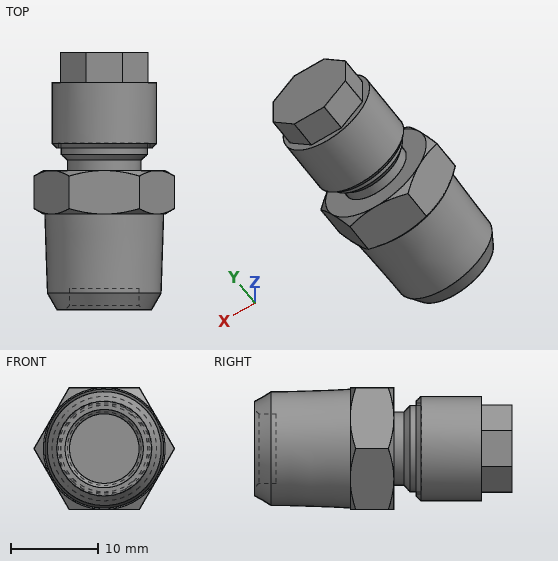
import cadquery as cq
import math

total_length = 29.6
thread_chamfer_length = 1.92
hex_start = 11.0
hex_end = 16.0
neck_end = 17.2
collar_start = 17.88
nut_start = 18.6
nut_chamfer_length = 0.53
octagon_start = 26.1

thread_root_radius = 6.85
thread_tip_radius = 6.55
chamfer_angle = math.radians(30)
neck_radius = 4.23
collar_radius = 4.97
nut_radius = 6.0
nut_chamfer_width = nut_chamfer_length
nut_mouth_radius = 5.25
nut_mouth_depth = 0.6
hex_across_flats = 14.0
octagon_across_flats = 10.05

bore_radius = 4.0
bore_mouth_radius = 4.5
bore_countersink_depth = 0.5
bore_depth = 2.5


def revolve_about_y(points):
    """Revolve a closed (radius, y) profile around the Y axis."""
    return cq.Workplane("XY").polyline(points).close().revolve(360, (0, 0, 0), (0, 1, 0))


def prism_along_y(sides, across_flats, start, end, turn=0):
    """Regular prism along Y; turn is the angle of its first corner from X."""
    corner_diameter = across_flats / math.cos(math.pi / sides)
    prism = cq.Workplane("XZ", origin=(0, start, 0)).polygon(sides, corner_diameter).extrude(start - end)
    return prism.rotate((0, 0, 0), (0, 1, 0), turn)


def make_round_body():
    """Tapered thread, neck, collar and round nut, with clearance between collar and nut mouth."""
    thread_end_radius = thread_tip_radius - thread_chamfer_length * math.tan(chamfer_angle)
    return revolve_about_y([
        (0, 0),
        (thread_end_radius, 0),
        (thread_tip_radius, thread_chamfer_length),
        (thread_root_radius, hex_start),
        (neck_radius, hex_start),
        (neck_radius, neck_end),
        (collar_radius, collar_start),
        (collar_radius, nut_start + nut_mouth_depth),
        (nut_mouth_radius, nut_start + nut_mouth_depth),
        (nut_mouth_radius, nut_start),
        (nut_radius - nut_chamfer_width, nut_start),
        (nut_radius, nut_start + nut_chamfer_length),
        (nut_radius, octagon_start),
        (0, octagon_start),
    ])


def make_hexagon():
    """Wrench hexagon with its corners chamfered on both faces."""
    flat_radius = hex_across_flats / 2
    corner_radius = flat_radius / math.cos(math.pi / 6)
    corner_drop = (corner_radius - flat_radius) * math.tan(chamfer_angle)
    chamfer_envelope = revolve_about_y([
        (0, hex_start),
        (flat_radius, hex_start),
        (corner_radius, hex_start + corner_drop),
        (corner_radius, hex_end - corner_drop),
        (flat_radius, hex_end),
        (0, hex_end),
    ])
    return prism_along_y(6, hex_across_flats, hex_start, hex_end).intersect(chamfer_envelope)


def make_bore():
    """Blind bore with a conical mouth."""
    return revolve_about_y([
        (0, 0),
        (bore_mouth_radius, 0),
        (bore_radius, bore_countersink_depth),
        (bore_radius, bore_depth),
        (0, bore_depth),
    ])


octagon = prism_along_y(8, octagon_across_flats, octagon_start, total_length, turn=180 / 8)

result = make_round_body().union(make_hexagon()).union(octagon).cut(make_bore())